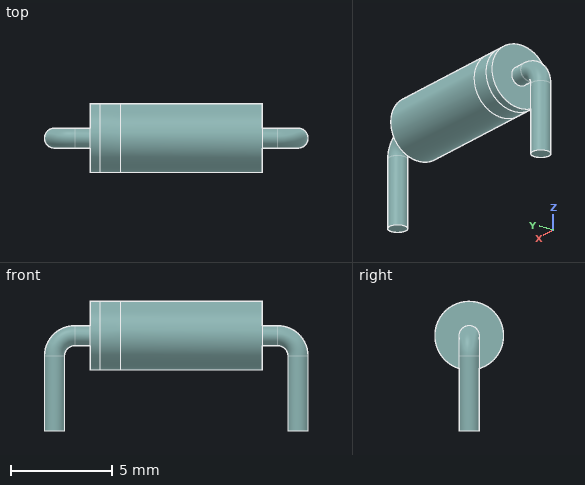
import cadquery as cq

housing_diameter = 3.4
housing_length = 8.5
end_cap_length = 0.5
band_length = 1.0

lead_diameter = 1.0
lead_pitch = 12.0
bend_radius = 1.0
lead_drop = 4.7

housing_left = -housing_length / 2
band_left = housing_left + end_cap_length
sleeve_left = band_left + band_length
sleeve_length = housing_length - end_cap_length - band_length


def housing_section(left, length):
    """Solid cylinder along X that starts at x = left."""
    return cq.Workplane("YZ").workplane(offset=left).circle(housing_diameter / 2).extrude(length)


def lead(side):
    """Round wire from a housing end face, bent down; side is -1 for left and +1 for right."""
    face_x = side * housing_length / 2
    leg_x = side * lead_pitch / 2
    bend_start_x = leg_x - side * bend_radius
    path = (
        cq.Workplane("XZ")
        .moveTo(face_x, 0)
        .lineTo(bend_start_x, 0)
        .tangentArcPoint((leg_x, -bend_radius), relative=False)
        .lineTo(leg_x, -lead_drop)
    )
    return cq.Workplane("YZ").workplane(offset=face_x).circle(lead_diameter / 2).sweep(path)


end_cap = housing_section(housing_left, end_cap_length)
polarity_band = housing_section(band_left, band_length)
sleeve = housing_section(sleeve_left, sleeve_length)
leads = [lead(side) for side in (-1, 1)]

result = cq.Compound.makeCompound([
    end_cap.val(),
    polarity_band.val(),
    sleeve.val(),
    *[wire.val() for wire in leads],
])